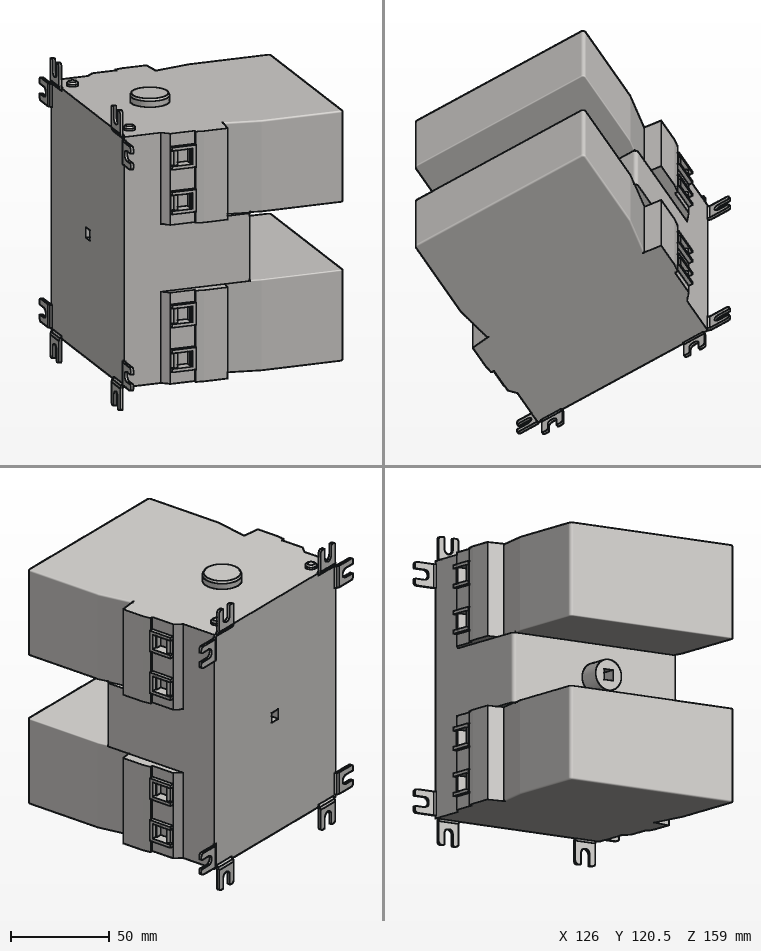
import cadquery as cq


overall_width = 126.0
overall_height = 159.0
overall_depth = 120.5
tab_thickness = 1.5

body_half_width = 50.4
body_half_height = 66.5
block_rear = overall_depth - tab_thickness
block_inner_z = 18.0
bridge_rear = 68.7
bridge_edge_radius = 1.9

taper_start_y = 74.4
notch_half_width = 46.7
notch_y = 55.0
shroud_corner_radius = 1.7
outer_rim_radius = 1.0
inner_rim_radius = 0.6

shoulder_half_width = 56.0
shoulder_y = 53.9
shoulder_taper_y = 41.2
shoulder_taper = 0.6
terminal_rear_y = 36.9
terminal_front_y = 23.7
shoulder_front_y = 19.9
recess_depth = 2.2
recess_half_width = shoulder_half_width - recess_depth

frame_height = 11.8
frame_centers_z = (53.7, 30.0)
pocket_height = 8.3
pocket_rear_y = 35.0
pocket_inner_rear_y = 34.3
pocket_inner_front_y = 27.3
lip_rear_y = 25.5
lip_drop = 1.9
ridge_rise = 1.0
ledge_depth = 2.4
pocket_depth = 5.7

tab_width = 12.2
tab_corner_radius = 1.6
tab_slot_mouth_radius = 0.6
tab_slot_width = 5.2
tab_slot_depth = 8.6
tab_overlap = 1.5
tab_bend_start = 1.1
tab_knee_overlap = 0.3
tab_knee_height = 1.0
tab_root_depth = 0.6
top_tab_x = 42.1
side_tab_z = 58.7
top_tab_reach = overall_height / 2 - body_half_height
side_tab_reach = overall_width / 2 - body_half_width

knob_diameter = 15.9
knob_rear = 80.6
square_hole_side = 5.5

button_diameter = 20.0
button_height = 4.5
button_y = 33.7
button_edge_rise = 1.3
button_edge_inset = 0.6
screw_diameter = 5.9
screw_height = 2.0
screw_chamfer = 1.0
screw_x = 39.1
screw_y = 7.2


def box(x0, x1, y0, y1, z0, z1):
    """Axis-aligned box between two opposite corners."""
    return cq.Workplane("XY").box(x1 - x0, y1 - y0, z1 - z0, centered=False).translate((x0, y0, z0))


def prism(half_outline, z0, z1):
    """Extrude along Z a profile given by its +X half and mirrored about X = 0."""
    mirrored = [(-x, y) for x, y in reversed(half_outline)]
    return cq.Workplane("XY", origin=(0, 0, z0)).polyline(half_outline + mirrored).close().extrude(z1 - z0)


def both_sides(shape):
    """The shape together with its mirror image about X = 0."""
    return shape.union(shape.mirror("YZ"))


def above_and_below(shape):
    """The shape together with its mirror image about Z = 0."""
    return shape.union(shape.mirror("XY"))


def make_bridge():
    """Central body that joins the two contact blocks."""
    bridge = box(-body_half_width, body_half_width, 0, bridge_rear, -block_inner_z, block_inner_z)
    return bridge.edges("|Z and >Y").fillet(bridge_edge_radius)


def make_shroud():
    """Rear part of the upper block, with rounded corners and rims."""
    outline = [
        (notch_half_width, notch_y),
        (body_half_width, taper_start_y),
        (body_half_width, block_rear),
    ]
    shroud = prism(outline, block_inner_z, body_half_height)
    shroud = shroud.edges("|Z and >Y").fillet(shroud_corner_radius)
    for side, radius in ((">Z", outer_rim_radius), ("<Z", inner_rim_radius)):
        shroud = shroud.faces(side).edges("not(<Y)").fillet(radius)
    return shroud.union(make_bridge_seam())


def make_bridge_seam():
    """Square-edged strip that fills the rounded inner rim where the shroud meets the bridge."""
    taper_slope = (body_half_width - notch_half_width) / (taper_start_y - notch_y)
    seam_half_width = notch_half_width + taper_slope * (bridge_rear - notch_y)
    outline = [(notch_half_width, notch_y), (seam_half_width, bridge_rear)]
    return prism(outline, block_inner_z, block_inner_z + inner_rim_radius)


def make_base():
    """Front part of the upper block, with the recessed terminal shoulders."""
    outline = [
        (body_half_width, 0),
        (body_half_width, shoulder_front_y),
        (recess_half_width, terminal_front_y),
        (recess_half_width, terminal_rear_y),
        (shoulder_half_width - shoulder_taper, terminal_rear_y),
        (shoulder_half_width, shoulder_taper_y),
        (shoulder_half_width, shoulder_y),
        (notch_half_width, notch_y),
    ]
    return prism(outline, block_inner_z, body_half_height)


def make_frame(z):
    """Raised frame of one terminal on the +X side."""
    return box(
        body_half_width, shoulder_half_width,
        terminal_front_y, terminal_rear_y,
        z - frame_height / 2, z + frame_height / 2,
    )


def make_pocket(z):
    """Terminal opening: a lowered front lip, a rounded ridge behind it, the pocket and a rear ledge."""
    outside = shoulder_half_width + recess_depth
    lip_x = shoulder_half_width - lip_drop
    ledge_x = shoulder_half_width - ledge_depth
    floor_x = shoulder_half_width - pocket_depth
    ridge_top = (lip_x + ridge_rise, (lip_rear_y + pocket_inner_front_y) / 2)
    return (
        cq.Workplane("XY", origin=(0, 0, z - pocket_height / 2))
        .moveTo(outside, terminal_front_y)
        .lineTo(lip_x, terminal_front_y)
        .lineTo(lip_x, lip_rear_y)
        .threePointArc(ridge_top, (lip_x, pocket_inner_front_y))
        .lineTo(floor_x, pocket_inner_front_y)
        .lineTo(floor_x, pocket_inner_rear_y)
        .lineTo(ledge_x, pocket_inner_rear_y)
        .lineTo(ledge_x, pocket_rear_y)
        .lineTo(outside, pocket_rear_y)
        .close()
        .extrude(pocket_height)
    )


def make_block():
    """Complete upper contact block."""
    block = make_base().union(make_shroud())
    for z in frame_centers_z:
        block = block.union(both_sides(make_frame(z)))
        block = block.cut(both_sides(make_pocket(z)))
    return block


def make_tab(reach):
    """Slotted mounting tab pointing along +X from a body side at X = 0, centred on Z = 0."""
    profile = [
        (-tab_overlap, 0),
        (-tab_knee_overlap, -tab_knee_height),
        (tab_bend_start, -tab_thickness),
        (reach, -tab_thickness),
        (reach, 0),
        (tab_bend_start, 0),
        (0, tab_root_depth),
        (-tab_overlap, tab_root_depth),
    ]
    tab = cq.Workplane("XY").polyline(profile).close().extrude(tab_width / 2, both=True)
    tab = tab.edges("|Y and >X").fillet(tab_corner_radius)
    slot_length = 2 * tab_slot_depth
    slot = (
        cq.Workplane("XZ", origin=(reach, 0, 0))
        .slot2D(slot_length, tab_slot_width)
        .extrude(tab_thickness, both=True)
    )
    return tab.cut(slot).edges("|Y and >X").fillet(tab_slot_mouth_radius)


def make_tabs():
    """Two tabs on each of the four sides of the mounting face."""
    side_tab = make_tab(side_tab_reach).translate((body_half_width, 0, side_tab_z))
    top_tab = (
        make_tab(top_tab_reach)
        .rotate((0, 0, 0), (0, 1, 0), -90)
        .translate((top_tab_x, 0, body_half_height))
    )
    return above_and_below(both_sides(side_tab.union(top_tab)))


def make_knob():
    """Round knob on the rear of the bridge."""
    return (
        cq.Workplane("XZ", origin=(0, knob_rear, 0))
        .circle(knob_diameter / 2)
        .extrude(knob_rear - bridge_rear / 2)
    )


def make_square_hole():
    """Square hole through the whole depth."""
    half_side = square_hole_side / 2
    return box(-half_side, half_side, 0, knob_rear, -half_side, half_side)


def make_top_button():
    """Large round button on the top face."""
    button = cq.Workplane("XY").circle(button_diameter / 2).extrude(button_height)
    button = button.faces(">Z").chamfer(button_edge_rise, button_edge_inset)
    return button.translate((0, button_y, body_half_height))


def make_screw_head():
    """Small chamfered screw head on the top face, on the +X side."""
    head = cq.Workplane("XY").circle(screw_diameter / 2).extrude(screw_height)
    head = head.faces(">Z").chamfer(screw_chamfer)
    return head.translate((screw_x, screw_y, body_half_height))


result = (
    make_bridge()
    .union(above_and_below(make_block()))
    .union(make_tabs())
    .union(make_knob())
    .union(make_top_button())
    .union(both_sides(make_screw_head()))
    .cut(make_square_hole())
)